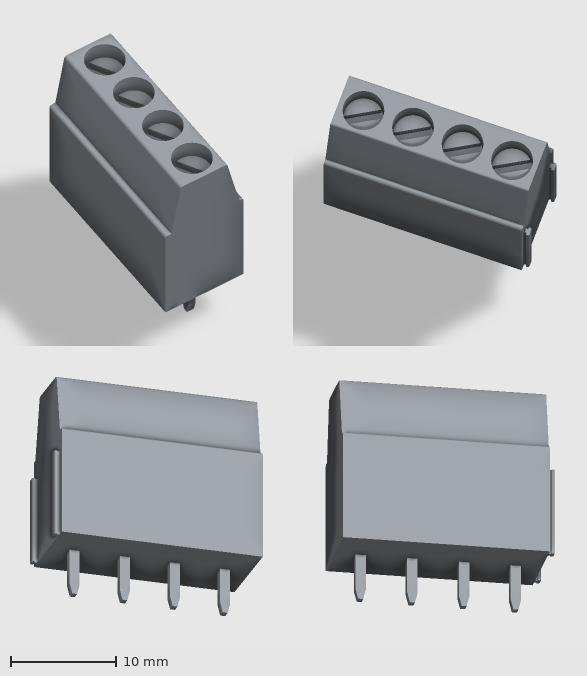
import cadquery as cq
import math


TOTAL_LENGTH = 20.55
TOTAL_HEIGHT = 21.3

POLES = 4
LENGTH = 20.0
PITCH = LENGTH / POLES
WIDTH = 8.9
HEIGHT = 16.8
SHOULDER_Z = 10.8
BACK_FOOT_Y = 3.96
BACK_TOP_Y = 2.58
FRONT_FOOT_Y = -3.77
FRONT_TOP_Y = -2.7
EDGE_RADIUS = 0.3
BACK_TOP_RADIUS = 0.2

SCREW_Y = 0.21
WELL_DIAMETER = 3.96
WELL_FLAT_WIDTH = 0.32
HEAD_DIAMETER = 3.8
HEAD_RECESS = 1.79
SLOT_WIDTH = 0.9
SLOT_DEPTH = 0.85
SLOT_ANGLE = 30

PIN_Y = -0.13
PIN_WIDTH = 1.0
PIN_THICKNESS = 0.8
PIN_LENGTH = TOTAL_HEIGHT - HEIGHT
PIN_TAPER_LENGTH = 1.0
PIN_TIP_WIDTH = 0.5

RAIL_SPACING = 7.0
RAIL_MID_Y = 0.05
RAIL_HEIGHT = 8.6
RAIL_REACH = TOTAL_LENGTH - LENGTH
RAIL_HEAD_WIDTH = 0.8
RAIL_HEAD_THICKNESS = 0.3
RAIL_NECK_WIDTH = 0.4
RAIL_RADIUS = 0.15

END_X = -LENGTH / 2
POLE_XS = [END_X + (i + 0.5) * PITCH for i in range(POLES)]


def make_housing():
    """Stepped, tapering cross-section drawn in YZ and extruded along X."""
    half_width = WIDTH / 2
    housing = (
        cq.Workplane("YZ", origin=(END_X, 0, 0))
        .polyline([
            (-half_width, 0),
            (half_width, 0),
            (half_width, SHOULDER_Z),
            (BACK_FOOT_Y, SHOULDER_Z),
            (BACK_TOP_Y, HEIGHT),
            (FRONT_TOP_Y, HEIGHT),
            (FRONT_FOOT_Y, SHOULDER_Z),
            (-half_width, SHOULDER_Z),
        ])
        .close()
        .extrude(LENGTH)
    )
    for y, z, radius in (
        (half_width, SHOULDER_Z, EDGE_RADIUS),
        (-half_width, SHOULDER_Z, EDGE_RADIUS),
        (FRONT_TOP_Y, HEIGHT, EDGE_RADIUS),
        (BACK_TOP_Y, HEIGHT, BACK_TOP_RADIUS),
    ):
        edge = cq.selectors.NearestToPointSelector((0, y, z))
        housing = housing.edges(edge).fillet(radius)
    return housing


def make_well(x):
    """Round well down to the slot floor, with a narrow flat on its +Y side."""
    radius = WELL_DIAMETER / 2
    half_flat = WELL_FLAT_WIDTH / 2
    flat_y = math.sqrt(radius**2 - half_flat**2)
    return (
        cq.Workplane("XY", origin=(x, SCREW_Y, HEIGHT))
        .moveTo(-half_flat, flat_y)
        .threePointArc((0, -radius), (half_flat, flat_y))
        .close()
        .extrude(-(HEAD_RECESS + SLOT_DEPTH))
    )


def make_screw_head(x):
    """Slotted head standing on the floor of its well."""
    floor_z = HEIGHT - HEAD_RECESS - SLOT_DEPTH
    head = cq.Workplane("XY").circle(HEAD_DIAMETER / 2).extrude(SLOT_DEPTH)
    slot = (
        cq.Workplane("XY")
        .rect(WELL_DIAMETER, SLOT_WIDTH)
        .extrude(SLOT_DEPTH)
        .rotate((0, 0, 0), (0, 0, 1), SLOT_ANGLE)
    )
    return head.cut(slot).translate((x, SCREW_Y, floor_z))


def make_pin(x):
    """Flat pin below the housing, narrowing in X to a blunt tip."""
    half_width = PIN_WIDTH / 2
    half_tip = PIN_TIP_WIDTH / 2
    taper_z = PIN_TAPER_LENGTH - PIN_LENGTH
    return (
        cq.Workplane("XZ", origin=(x, PIN_Y, 0))
        .polyline([
            (-half_width, 0),
            (-half_width, taper_z),
            (-half_tip, -PIN_LENGTH),
            (half_tip, -PIN_LENGTH),
            (half_width, taper_z),
            (half_width, 0),
        ])
        .close()
        .extrude(PIN_THICKNESS / 2, both=True)
    )


def make_rail(y):
    """Rail with a rounded head and a neck that flares into the end wall."""
    half_head = RAIL_HEAD_WIDTH / 2
    half_neck = RAIL_NECK_WIDTH / 2
    outer_x = -RAIL_REACH
    head_x = outer_x + RAIL_HEAD_THICKNESS
    flare_y = half_neck + RAIL_RADIUS
    return (
        cq.Workplane("XY", origin=(END_X, y, 0))
        .moveTo(0, flare_y)
        .radiusArc((-RAIL_RADIUS, half_neck), RAIL_RADIUS)
        .lineTo(head_x, half_neck)
        .lineTo(head_x, half_head)
        .lineTo(outer_x + RAIL_RADIUS, half_head)
        .radiusArc((outer_x, half_head - RAIL_RADIUS), -RAIL_RADIUS)
        .lineTo(outer_x, RAIL_RADIUS - half_head)
        .radiusArc((outer_x + RAIL_RADIUS, -half_head), -RAIL_RADIUS)
        .lineTo(head_x, -half_head)
        .lineTo(head_x, -half_neck)
        .lineTo(-RAIL_RADIUS, -half_neck)
        .radiusArc((0, -flare_y), RAIL_RADIUS)
        .close()
        .extrude(RAIL_HEIGHT)
    )


result = make_housing()
for pole_x in POLE_XS:
    result = result.cut(make_well(pole_x))
    result = result.union(make_screw_head(pole_x))
    result = result.union(make_pin(pole_x))
for side in (-1, 1):
    result = result.union(make_rail(RAIL_MID_Y + side * RAIL_SPACING / 2))